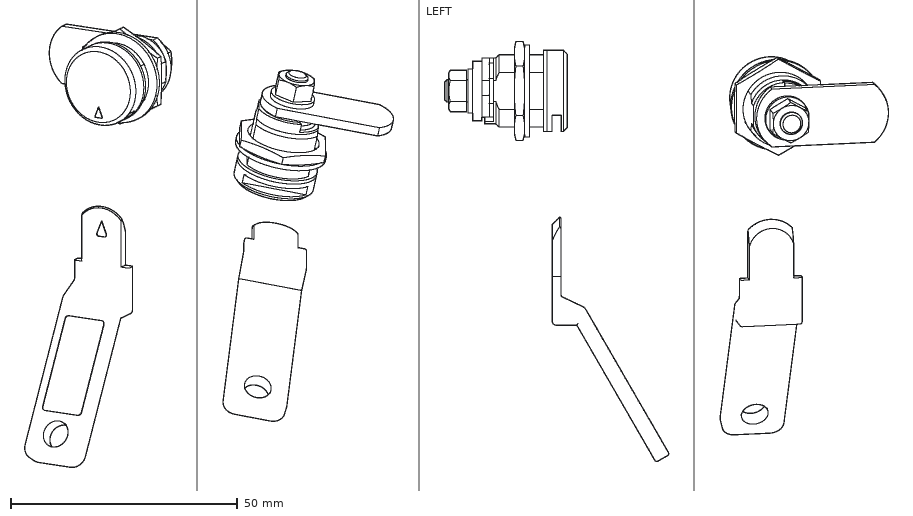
import cadquery as cq
import math


BLADE_FRONT_Y = 1.4
BLADE_THICKNESS = 2.0

HEAD_RADIUS = 9.0
HEAD_LENGTH = 4.5
HEAD_CHAMFER = 0.9
BARREL_RADIUS = 6.2
NECK_RADIUS = 2.8
STUD_RADIUS = 2.5
STUD_TIP_CHAMFER = 0.5
STUD_TIP_PROTRUSION = 0.9
SLOT_TOP_Z = -5.4

FLANGE_THICKNESS = 0.8
THREAD_RADIUS = 8.05
ACROSS_FLATS = 13.85
THREAD_END_Y = 15.1
HOUSING_END_Y = 16.4
COLLAR_RADIUS = 7.3
STOP_WALL_END_Y = 18.3
STOP_WALL_START_ANGLE = -112.0
STOP_WALL_END_ANGLE = 90.0

WASHER_RADIUS = 10.2
WASHER_FRONT_Y = 8.35
WASHER_THICKNESS = 1.1
NUT_ACROSS_FLATS = 19.0
NUT_THICKNESS = 2.3
NUT_CHAMFER_HEIGHT = 0.35

PLATE_FRONT_Y = 17.25
PLATE_THICKNESS = 1.65
PLATE_HUB_RADIUS = 5.85
LUG_START_ANGLE = 90.0
LUG_END_ANGLE = 188.5

CAM_WIDTH = 13.2
CAM_THICKNESS = 2.05
CAM_TIP_REACH = 22.97
CAM_HEEL_REACH = 6.75
CAM_TIP_RISE = 3.2
CAM_HEEL_RISE = 3.45

SMALL_WASHER_RADIUS = 4.9
SMALL_WASHER_THICKNESS = 1.05
SMALL_NUT_GAP = 0.3
SMALL_NUT_ACROSS_FLATS = 8.0
SMALL_NUT_THICKNESS = 3.95
SMALL_NUT_CHAMFER_HEIGHT = 0.35

BLADE_WIDTH = 10.0
BLADE_TOP_Z = -27.85
BLADE_TIP_RADIUS = 6.85
BLADE_TIP_CHAMFER = 0.3
SHOULDER_Z = -41.05
HANDLE_WIDTH = 14.0
HANDLE_FILLET = 0.5
ELBOW_FILLET = 0.5
ARM_BEND_FILLET = 2.0
ELBOW_TOP_Z = -45.4
ARM_TOP_Y = -3.84
ARM_TOP_Z = -47.9
ELBOW_BOTTOM_Z = -51.85
HEEL_RADIUS = 1.0
ARM_ANGLE = 30.0
ARM_THICKNESS = 3.5
ARM_LENGTH = 37.54
ARM_CORNER_RADIUS = 3.0
KEYRING_HOLE_DIAMETER = 6.0
KEYRING_HOLE_POSITION = 31.2
LABEL_WIDTH = 9.8
LABEL_LENGTH = 22.0
LABEL_POSITION = 15.3
LABEL_CORNER_RADIUS = 0.8
LABEL_DEPTH = 0.2

ARROW_DEPTH = 0.2
HEAD_ARROW_BASE_Z = -7.1
HEAD_ARROW_WIDTH = 2.0
HEAD_ARROW_HEIGHT = 2.5
HEAD_ARROW_CORNER_RADIUS = 0.2
BLADE_ARROW_BASE_Z = -34.75
BLADE_ARROW_WIDTH = 2.9
BLADE_ARROW_HEIGHT = 3.6
BLADE_ARROW_CORNER_RADIUS = 0.5

flange_back_y = HEAD_LENGTH + FLANGE_THICKNESS
washer_back_y = WASHER_FRONT_Y + WASHER_THICKNESS
cam_front_y = PLATE_FRONT_Y + PLATE_THICKNESS
cam_back_y = cam_front_y + CAM_THICKNESS
small_washer_back_y = cam_back_y + SMALL_WASHER_THICKNESS
small_nut_front_y = small_washer_back_y + SMALL_NUT_GAP
small_nut_back_y = small_nut_front_y + SMALL_NUT_THICKNESS
stud_end_y = small_nut_back_y + STUD_TIP_PROTRUSION


def facing_back(y):
    """Workplane at the given y whose extrusions run toward +Y (local x is X, local y is -Z)."""
    return cq.Workplane("XZ", origin=(0, y, 0)).transformed(rotate=(180, 0, 0))


def cylinder(radius, start_y, end_y):
    return facing_back(start_y).circle(radius).extrude(end_y - start_y)


def sector(radius, start_angle, end_angle, start_y, end_y):
    """Pie slice around the axis; angles run from +X toward +Z."""

    def rim(angle):
        a = math.radians(angle)
        return (radius * math.cos(a), -radius * math.sin(a))

    return (
        facing_back(start_y)
        .lineTo(*rim(start_angle))
        .threePointArc(rim((start_angle + end_angle) / 2), rim(end_angle))
        .close()
        .extrude(end_y - start_y)
    )


def between_flats(solid):
    """Keep the part of a solid of the lock that lies between the two flats of the housing."""
    slab = cq.Workplane().box(ACROSS_FLATS, 2 * stud_end_y, 4 * THREAD_RADIUS)
    return solid.intersect(slab)


def arrow_mark(face_y, base_z, width, height, corner_radius):
    """Shallow upright triangle with its two base corners rounded."""
    half = width / 2
    return (
        facing_back(face_y)
        .polyline([(-half, -base_z), (half, -base_z), (0, -base_z - height)])
        .close()
        .extrude(ARROW_DEPTH)
        .edges("|Y")
        .edges("<Z")
        .fillet(corner_radius)
    )


def hex_nut(across_flats, front_y, thickness, chamfer_height, hole_radius, both_sides):
    """Nut with corners at +Z and -Z, turned down by a cone at the back or at both ends."""
    corner = across_flats / math.sqrt(3)
    nut = facing_back(front_y).polygon(6, 2 * corner).extrude(thickness)
    nut = nut.rotate((0, 0, 0), (0, 1, 0), 30)
    face_radius = across_flats / 2
    back_y = front_y + thickness
    front_radius = face_radius if both_sides else corner
    points = [(0, front_y), (front_radius, front_y)]
    if both_sides:
        points.append((corner, front_y + chamfer_height))
    points += [(corner, back_y - chamfer_height), (face_radius, back_y), (0, back_y)]
    envelope = cq.Workplane("XY").polyline(points).close().revolve(360, (0, 0, 0), (0, 1, 0))
    return nut.intersect(envelope).cut(cylinder(hole_radius, front_y, back_y))


def make_rotor():
    head = cylinder(HEAD_RADIUS, 0, HEAD_LENGTH).faces("<Y").chamfer(HEAD_CHAMFER)
    slot = cq.Workplane().box(2 * HEAD_RADIUS, BLADE_THICKNESS, HEAD_RADIUS, centered=(True, False, False))
    slot = slot.translate((0, BLADE_FRONT_Y, SLOT_TOP_Z - HEAD_RADIUS))
    arrow = arrow_mark(
        0, HEAD_ARROW_BASE_Z, HEAD_ARROW_WIDTH, HEAD_ARROW_HEIGHT, HEAD_ARROW_CORNER_RADIUS
    )
    head = head.cut(slot).cut(arrow)
    barrel = cylinder(BARREL_RADIUS, HEAD_LENGTH, HOUSING_END_Y)
    neck = cylinder(NECK_RADIUS, HOUSING_END_Y, cam_back_y)
    stud = cylinder(STUD_RADIUS, cam_back_y, stud_end_y).faces(">Y").chamfer(STUD_TIP_CHAMFER)
    return head.union(barrel).union(neck).union(stud)


def make_housing():
    thread_chamfer = THREAD_RADIUS - COLLAR_RADIUS
    flange = cylinder(HEAD_RADIUS, HEAD_LENGTH, flange_back_y)
    thread = cylinder(THREAD_RADIUS, flange_back_y, THREAD_END_Y + thread_chamfer)
    thread = thread.faces(">Y").chamfer(thread_chamfer)
    collar = cylinder(COLLAR_RADIUS, flange_back_y, HOUSING_END_Y)
    stop_wall = sector(
        COLLAR_RADIUS, STOP_WALL_START_ANGLE, STOP_WALL_END_ANGLE, HOUSING_END_Y, STOP_WALL_END_Y
    )
    housing = flange.union(between_flats(thread.union(collar).union(stop_wall)))
    return housing.cut(cylinder(BARREL_RADIUS, HEAD_LENGTH, STOP_WALL_END_Y))


def make_washer():
    opening = cylinder(THREAD_RADIUS, WASHER_FRONT_Y, washer_back_y)
    return cylinder(WASHER_RADIUS, WASHER_FRONT_Y, washer_back_y).cut(opening)


def make_stop_plate():
    hub = cylinder(PLATE_HUB_RADIUS, PLATE_FRONT_Y, cam_front_y)
    lug = sector(COLLAR_RADIUS, LUG_START_ANGLE, LUG_END_ANGLE, PLATE_FRONT_Y, cam_front_y)
    plate = hub.union(between_flats(lug))
    return plate.cut(cylinder(NECK_RADIUS, PLATE_FRONT_Y, cam_front_y))


def make_cam():
    half = CAM_WIDTH / 2
    tip_start_x = CAM_TIP_RISE - CAM_TIP_REACH
    heel_start_x = CAM_HEEL_REACH - CAM_HEEL_RISE
    blank = (
        facing_back(cam_front_y)
        .moveTo(tip_start_x, half)
        .threePointArc((-CAM_TIP_REACH, 0), (tip_start_x, -half))
        .lineTo(heel_start_x, -half)
        .threePointArc((CAM_HEEL_REACH, 0), (heel_start_x, half))
        .close()
        .extrude(CAM_THICKNESS)
    )
    return blank.cut(cylinder(NECK_RADIUS, cam_front_y, cam_back_y))


def make_small_washer():
    disc = cylinder(SMALL_WASHER_RADIUS, cam_back_y, small_washer_back_y)
    return disc.cut(cylinder(STUD_RADIUS, cam_back_y, small_washer_back_y))


def near_edge(y, z):
    """Selector for the bend edge that crosses the handle at the given place."""
    return cq.selectors.NearestToPointSelector((0, y, z))


def blade_bar(top_z, bottom_z):
    """Straight length of the blade section."""
    bar = cq.Workplane().box(BLADE_WIDTH, BLADE_THICKNESS, top_z - bottom_z, centered=(True, False, False))
    return bar.translate((0, BLADE_FRONT_Y, bottom_z))


def make_handle():
    back_y = BLADE_FRONT_Y + BLADE_THICKNESS
    sine = math.sin(math.radians(ARM_ANGLE))
    cosine = math.cos(math.radians(ARM_ANGLE))
    arm_end = (ARM_TOP_Y - ARM_LENGTH * sine, ARM_TOP_Z - ARM_LENGTH * cosine)
    arm_end_back = (arm_end[0] + ARM_THICKNESS * cosine, arm_end[1] - ARM_THICKNESS * sine)
    back_bend_rise = ELBOW_BOTTOM_Z - arm_end_back[1]
    back_bend_y = arm_end_back[0] + back_bend_rise * math.tan(math.radians(ARM_ANGLE))

    bar = (
        cq.Workplane("YZ", origin=(-HANDLE_WIDTH / 2, 0, 0))
        .moveTo(BLADE_FRONT_Y, SHOULDER_Z)
        .lineTo(BLADE_FRONT_Y, ELBOW_TOP_Z)
        .lineTo(ARM_TOP_Y, ARM_TOP_Z)
        .lineTo(*arm_end)
        .lineTo(*arm_end_back)
        .lineTo(back_bend_y, ELBOW_BOTTOM_Z)
        .lineTo(back_y - HEEL_RADIUS, ELBOW_BOTTOM_Z)
        .radiusArc((back_y, ELBOW_BOTTOM_Z + HEEL_RADIUS), -HEEL_RADIUS)
        .lineTo(back_y, SHOULDER_Z)
        .close()
        .extrude(HANDLE_WIDTH)
    )

    elbow = bar.edges(near_edge(BLADE_FRONT_Y, ELBOW_TOP_Z))
    bar = elbow.fillet(ELBOW_FILLET)
    arm_bend = bar.edges(near_edge(ARM_TOP_Y, ARM_TOP_Z))
    bar = arm_bend.fillet(ARM_BEND_FILLET)

    arm_face = cq.Plane(origin=(0, ARM_TOP_Y, ARM_TOP_Z), xDir=(1, 0, 0), normal=(0, -cosine, sine))
    arm_corners = bar.edges(cq.selectors.ParallelDirSelector(arm_face.zDir)).edges("<Z")
    bar = arm_corners.fillet(ARM_CORNER_RADIUS)
    bar = bar.faces("<X or >X").edges("not >Z").fillet(HANDLE_FILLET)

    tip_centre_z = BLADE_TOP_Z - BLADE_TIP_RADIUS
    chamfer_back_y = BLADE_FRONT_Y + BLADE_TIP_CHAMFER
    tip_disc = (
        cq.Workplane("XY")
        .moveTo(0, BLADE_FRONT_Y)
        .lineTo(BLADE_TIP_RADIUS - BLADE_TIP_CHAMFER, BLADE_FRONT_Y)
        .lineTo(BLADE_TIP_RADIUS, chamfer_back_y)
        .lineTo(BLADE_TIP_RADIUS - (back_y - chamfer_back_y), back_y)
        .lineTo(0, back_y)
        .close()
        .revolve(360, (0, 0, 0), (0, 1, 0))
        .translate((0, 0, tip_centre_z))
    )
    blade_tip = blade_bar(BLADE_TOP_Z, tip_centre_z).intersect(tip_disc)
    blade = blade_bar(tip_centre_z, ELBOW_TOP_Z).union(blade_tip)
    handle = bar.union(blade)

    label = (
        cq.Workplane(arm_face)
        .center(0, -LABEL_POSITION)
        .rect(LABEL_WIDTH, LABEL_LENGTH)
        .extrude(-LABEL_DEPTH)
        .edges(cq.selectors.ParallelDirSelector(arm_face.zDir))
        .fillet(LABEL_CORNER_RADIUS)
    )
    keyring_hole = (
        cq.Workplane(arm_face)
        .center(0, -KEYRING_HOLE_POSITION)
        .circle(KEYRING_HOLE_DIAMETER / 2)
        .extrude(-ARM_THICKNESS)
    )
    arrow = arrow_mark(
        BLADE_FRONT_Y,
        BLADE_ARROW_BASE_Z,
        BLADE_ARROW_WIDTH,
        BLADE_ARROW_HEIGHT,
        BLADE_ARROW_CORNER_RADIUS,
    )
    return handle.cut(label).cut(keyring_hole).cut(arrow)


rotor = make_rotor()
housing = make_housing()
washer = make_washer()
big_nut = hex_nut(
    NUT_ACROSS_FLATS, washer_back_y, NUT_THICKNESS, NUT_CHAMFER_HEIGHT, THREAD_RADIUS, both_sides=True
)
stop_plate = make_stop_plate()
cam = make_cam()
small_washer = make_small_washer()
small_nut = hex_nut(
    SMALL_NUT_ACROSS_FLATS,
    small_nut_front_y,
    SMALL_NUT_THICKNESS,
    SMALL_NUT_CHAMFER_HEIGHT,
    STUD_RADIUS,
    both_sides=False,
)
handle = make_handle()

bodies = [rotor, housing, washer, big_nut, stop_plate, cam, small_washer, small_nut, handle]
result = cq.Compound.makeCompound([body.val() for body in bodies])